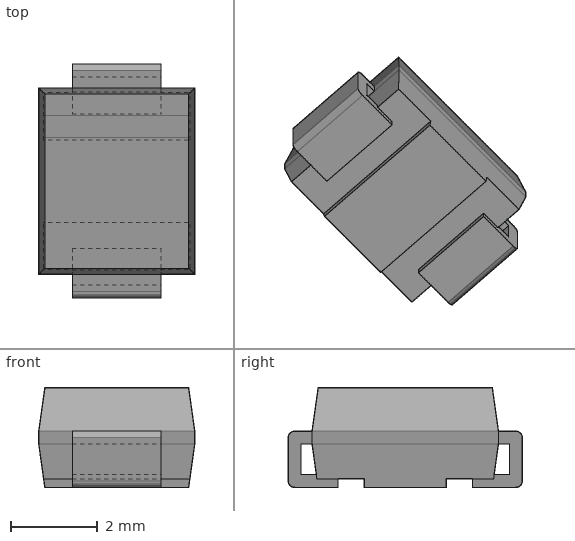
import cadquery as cq
import math

body_width = 3.6
body_length = 4.3
body_height = 2.3
belt_bottom = 1.0
belt_top = 1.3
draft_angle = 8.0

pedestal_length = 1.9
relief_height = 0.2

lead_span = 5.4
lead_width = 2.05
lead_thickness = 0.3
lead_bend_radius = 0.15
foot_length = 1.15

band_length = 0.5
band_center = 1.26
band_depth = 0.05


def taper_inset(height):
    """Sideways inset of a drafted wall over the given height."""
    return height * math.tan(math.radians(draft_angle))


def make_body():
    """Belt with the upper and lower halves drafted away from it."""
    belt = cq.Workplane("XY", origin=(0, 0, belt_bottom)).rect(body_width, body_length)
    belt = belt.extrude(belt_top - belt_bottom)
    upper = cq.Workplane("XY", origin=(0, 0, belt_top)).rect(body_width, body_length)
    upper = upper.extrude(body_height - belt_top, taper=draft_angle)
    lower = cq.Workplane("XY", origin=(0, 0, belt_bottom)).rect(body_width, body_length)
    lower = lower.extrude(-belt_bottom, taper=draft_angle)
    return belt.union(upper).union(lower)


def make_end_relief(side):
    """Cutter that raises the underside between the pedestal and one end (side is +1 or -1)."""
    relief_length = (body_length - pedestal_length) / 2
    center_y = side * (pedestal_length + relief_length) / 2
    return cq.Workplane("XY").center(0, center_y).rect(body_width, relief_length).extrude(relief_height)


def make_lead(side):
    """Lead leaving the belt, bending down and folding back under the body."""
    outer_y = side * lead_span / 2
    inner_y = outer_y - side * lead_thickness
    foot_end_y = outer_y - side * foot_length
    outline = [
        (foot_end_y, 0),
        (outer_y, 0),
        (outer_y, belt_top),
        (foot_end_y, belt_top),
        (foot_end_y, belt_top - lead_thickness),
        (inner_y, belt_top - lead_thickness),
        (inner_y, lead_thickness),
        (foot_end_y, lead_thickness),
    ]
    lead = cq.Workplane("YZ").polyline(outline).close().extrude(lead_width / 2, both=True)
    outer_face = ">Y" if side > 0 else "<Y"
    return lead.faces(outer_face).edges("|X").fillet(lead_bend_radius)


def make_polarity_band():
    """Strip across the full top face; it lies inside the body and only marks its surface."""
    top_width = body_width - 2 * taper_inset(body_height - belt_top)
    band_floor = body_height - band_depth
    band = cq.Workplane("XY", origin=(0, band_center, band_floor))
    return band.rect(top_width, band_length).extrude(band_depth)


part = make_body()
for end in (-1, 1):
    part = part.cut(make_end_relief(end))
    part = part.union(make_lead(end))

result = part.union(make_polarity_band(), clean=False)